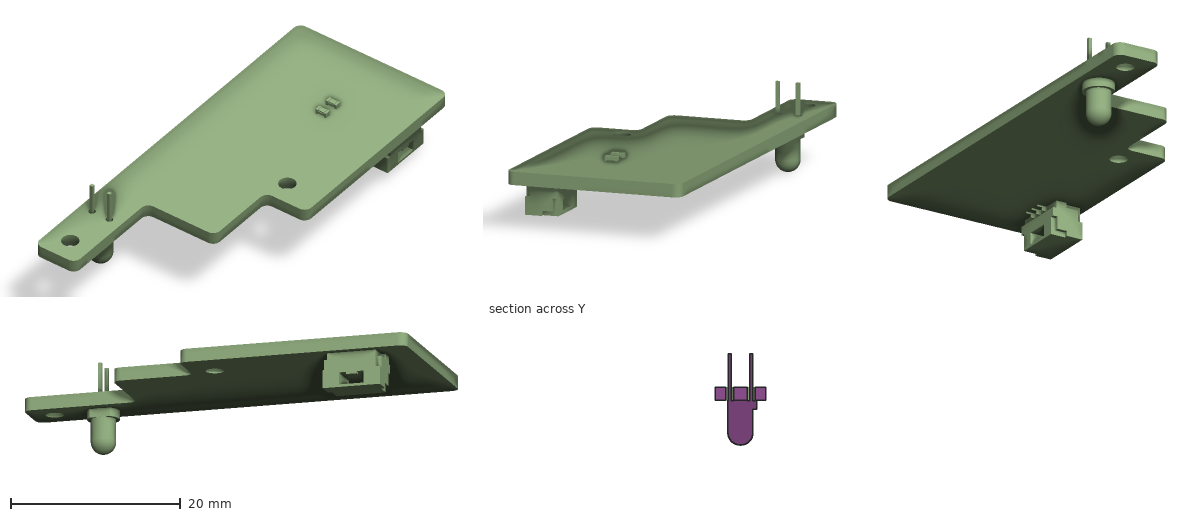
import cadquery as cq


BOARD_LENGTH = 52.0
BOARD_WIDTH = 22.0
BOARD_THICKNESS = 1.6
CORNER_RADIUS = 1.0
TONGUE_WIDTH = 6.0
TONGUE_LENGTH = 14.05
SHOULDER_WIDTH = 16.0
SHOULDER_END = 24.0
MOUNT_HOLE_DIAMETER = 2.2
TONGUE_HOLE_Y = 3.0
SHOULDER_HOLE = (17.0, 27.0)

LAMP_X = TONGUE_WIDTH / 2
LAMP_Y = 9.0
LENS_DIAMETER = 3.0
LAMP_DEPTH = 5.25
FLANGE_DIAMETER = 3.9
FLANGE_HEIGHT = 1.05
LEAD_PITCH = 2.55
LEAD_SIZE = 0.4
LEAD_PROJECTION = 3.95
LEAD_HOLE_DIAMETER = 0.9
LEAD_XS = [LAMP_X - LEAD_PITCH / 2, LAMP_X + LEAD_PITCH / 2]

CHIP_X = 12.5
CHIP_YS = [40.0, 42.0]
CHIP_LENGTH = 1.55
CHIP_WIDTH = 0.8
CHIP_HEIGHT = 0.6
TERMINAL_LENGTH = 0.3
CHIP_CORE_RECESS = 0.15
COATING_INSET = 0.05

CONNECTOR_X = 16.9
CONNECTOR_LENGTH = 4.05
CONNECTOR_Y = 45.0
CONNECTOR_WIDTH = 7.05
CONNECTOR_HEIGHT = 4.2
CONNECTOR_END = CONNECTOR_X + CONNECTOR_LENGTH
NOTCH_LENGTH = 0.45
NOTCH_DEPTH = 0.95
SIDE_RECESS_DEPTH = 0.5
SIDE_RECESS_ARM = 0.6
SIDE_RECESS_LEVEL = 2.05
SIDE_RECESS_LOW_RUN = 1.9
SIDE_RECESS_HIGH_RUN = 2.2
WINDOW_WIDTH = 3.0
WINDOW_HEIGHT = 1.45
WINDOW_FLOOR = 0.3
LATCH_WIDTH = 1.3
LATCH_HEIGHT = 0.25
LATCH_LENGTH = 0.5
CONTACT_COUNT = 3
CONTACT_PITCH = 1.25
CONTACT_WIDTH = 0.15
FOOT_REACH = 0.8
FOOT_THICKNESS = 0.2
HEEL_REACH = 0.15
HEEL_HEIGHT = 0.6


def box(x_min, x_max, y_center, y_size, z_min, z_max):
    """Block given by its X and Z limits and centred at a Y position."""
    size = (x_max - x_min, y_size, z_max - z_min)
    center = ((x_min + x_max) / 2, y_center, (z_min + z_max) / 2)
    return cq.Workplane("XY").box(*size).translate(center)


def make_board():
    outline = [
        (0, 0),
        (TONGUE_WIDTH, 0),
        (TONGUE_WIDTH, TONGUE_LENGTH),
        (SHOULDER_WIDTH, TONGUE_LENGTH),
        (SHOULDER_WIDTH, SHOULDER_END),
        (BOARD_WIDTH, SHOULDER_END),
        (BOARD_WIDTH, BOARD_LENGTH),
        (0, BOARD_LENGTH),
    ]
    plate = cq.Workplane("XY").polyline(outline).close().extrude(BOARD_THICKNESS)
    plate = plate.edges("|Z").fillet(CORNER_RADIUS)
    mount_holes = (
        cq.Workplane("XY")
        .pushPoints([(LAMP_X, TONGUE_HOLE_Y), SHOULDER_HOLE])
        .circle(MOUNT_HOLE_DIAMETER / 2)
        .extrude(BOARD_THICKNESS)
    )
    lead_holes = (
        cq.Workplane("XY")
        .pushPoints([(x, LAMP_Y) for x in LEAD_XS])
        .circle(LEAD_HOLE_DIAMETER / 2)
        .extrude(BOARD_THICKNESS)
    )
    return plate.cut(mount_holes).cut(lead_holes)


def make_lamp():
    lens_radius = LENS_DIAMETER / 2
    base = cq.Workplane("XY").center(LAMP_X, LAMP_Y)
    dome_level = lens_radius - LAMP_DEPTH
    lens = base.circle(lens_radius).extrude(dome_level)
    dome = cq.Workplane("XY").sphere(lens_radius).translate((LAMP_X, LAMP_Y, dome_level))
    flange = base.circle(FLANGE_DIAMETER / 2).extrude(-FLANGE_HEIGHT)
    flat_side = box(
        LAMP_X + lens_radius, LAMP_X + FLANGE_DIAMETER, LAMP_Y, FLANGE_DIAMETER, -FLANGE_HEIGHT, 0
    )
    lamp = lens.union(dome).union(flange.cut(flat_side))
    lead_top = BOARD_THICKNESS + LEAD_PROJECTION
    for x in LEAD_XS:
        lead = box(x - LEAD_SIZE / 2, x + LEAD_SIZE / 2, LAMP_Y, LEAD_SIZE, -FLANGE_HEIGHT / 2, lead_top)
        lamp = lamp.union(lead)
    return lamp


def make_chip(y):
    start = CHIP_X - CHIP_LENGTH / 2
    end = CHIP_X + CHIP_LENGTH / 2
    bottom = BOARD_THICKNESS
    top = bottom + CHIP_HEIGHT
    chip = box(start, end, y, CHIP_WIDTH, bottom, top)
    core_start = start + TERMINAL_LENGTH
    core_end = end - TERMINAL_LENGTH
    over_core = box(core_start, core_end, y, CHIP_WIDTH, top - CHIP_CORE_RECESS, top)
    under_core = box(core_start, core_end, y, CHIP_WIDTH, bottom, bottom + CHIP_CORE_RECESS)
    coating = box(
        core_start + COATING_INSET,
        core_end - COATING_INSET,
        y,
        CHIP_WIDTH - 2 * COATING_INSET,
        top - CHIP_CORE_RECESS,
        top,
    )
    return chip.cut(over_core).cut(under_core).union(coating)


def make_side_recess(side):
    """Two L-shaped pockets in the connector's -Y (side = -1) or +Y (side = 1) wall."""
    y = CONNECTOR_Y + side * (CONNECTOR_WIDTH - SIDE_RECESS_DEPTH) / 2
    floor = -CONNECTOR_HEIGHT
    low_foot = box(
        CONNECTOR_X, CONNECTOR_X + SIDE_RECESS_LOW_RUN, y, SIDE_RECESS_DEPTH, floor, floor + SIDE_RECESS_ARM
    )
    low_upright = box(
        CONNECTOR_X, CONNECTOR_X + SIDE_RECESS_ARM, y, SIDE_RECESS_DEPTH, floor, -SIDE_RECESS_LEVEL
    )
    high_arm = box(
        CONNECTOR_END - SIDE_RECESS_HIGH_RUN, CONNECTOR_END, y, SIDE_RECESS_DEPTH, -SIDE_RECESS_ARM, 0
    )
    high_upright = box(
        CONNECTOR_END - SIDE_RECESS_ARM, CONNECTOR_END, y, SIDE_RECESS_DEPTH, -SIDE_RECESS_LEVEL, 0
    )
    return low_foot.union(low_upright).union(high_arm).union(high_upright)


def make_contact(y):
    """Gull-wing contact: a thin foot on the board and a deeper heel at the wall."""
    wall = CONNECTOR_X + NOTCH_LENGTH
    foot = box(CONNECTOR_X - FOOT_REACH, wall, y, CONTACT_WIDTH, -FOOT_THICKNESS, 0)
    heel = box(CONNECTOR_X - HEEL_REACH, wall, y, CONTACT_WIDTH, -HEEL_HEIGHT, 0)
    return foot.union(heel)


def make_connector():
    connector = box(CONNECTOR_X, CONNECTOR_END, CONNECTOR_Y, CONNECTOR_WIDTH, -CONNECTOR_HEIGHT, 0)
    notch = box(CONNECTOR_X, CONNECTOR_X + NOTCH_LENGTH, CONNECTOR_Y, CONNECTOR_WIDTH, -NOTCH_DEPTH, 0)
    connector = connector.cut(notch)
    for side in (-1, 1):
        connector = connector.cut(make_side_recess(side))

    window_bottom = WINDOW_FLOOR - CONNECTOR_HEIGHT
    window_top = window_bottom + WINDOW_HEIGHT
    window = box(CONNECTOR_X, CONNECTOR_END, CONNECTOR_Y, WINDOW_WIDTH, window_bottom, window_top)
    latch_start = CONNECTOR_END - LATCH_LENGTH
    latch_bottom = window_top - LATCH_HEIGHT
    latch = box(latch_start, CONNECTOR_END, CONNECTOR_Y, LATCH_WIDTH, latch_bottom, window_top)
    connector = connector.cut(window).union(latch)

    for index in range(CONTACT_COUNT):
        offset = (index - (CONTACT_COUNT - 1) / 2) * CONTACT_PITCH
        connector = connector.union(make_contact(CONNECTOR_Y + offset))
    return connector


board = make_board()
lamp = make_lamp()
chips = [make_chip(y) for y in CHIP_YS]
connector = make_connector()

result = cq.Compound.makeCompound(
    [board.val(), lamp.val(), *[chip.val() for chip in chips], connector.val()]
)